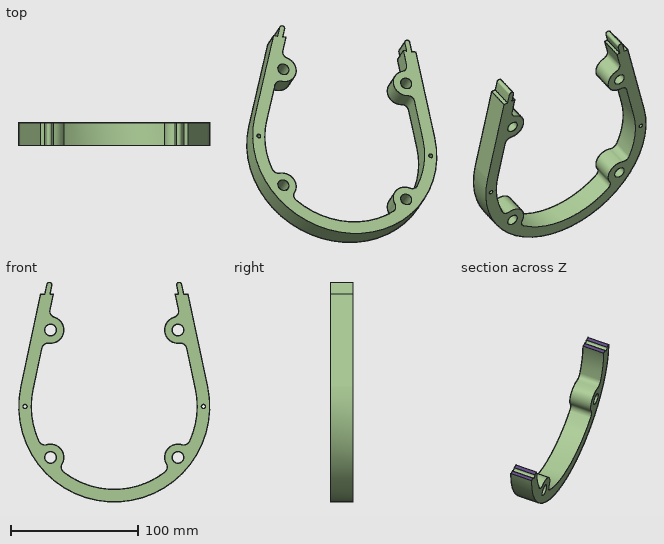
import cadquery as cq
import math

thickness = 18.0
overall_height = 172.3
outer_radius = 75.0
wall = 10.0
inner_radius = outer_radius - wall
lean = math.radians(12)
shoulder_z = 88.0

tongue_width = 4.1
tongue_setback = 3.3
tip_z = overall_height - outer_radius

boss_radius = 10.5
boss_hole_diameter = 9.0
boss_x = 50.0
upper_boss_z = 60.0
lower_boss_z = -40.0
boss_fillet = 5.0
boss_centers = [(side * boss_x, z) for side in (-1, 1) for z in (lower_boss_z, upper_boss_z)]

pin_hole_diameter = 3.1
pin_x = outer_radius - wall / 2

tolerance = 0.02


def mid_plane():
    """XZ sketch plane; solids are extruded evenly to both sides of it."""
    return cq.Workplane("XZ")


def leg_x(radius, z):
    """X at height z of the right-hand leaning line tangent to a circle of this radius."""
    return (radius - z * math.sin(lean)) / math.cos(lean)


def tangent_point(radius):
    """Point where the right-hand leg line meets its circle."""
    return radius * math.cos(lean), radius * math.sin(lean)


def make_band():
    outer_x, outer_z = tangent_point(outer_radius)
    inner_x, inner_z = tangent_point(inner_radius)
    outer_end = leg_x(outer_radius, shoulder_z)
    inner_end = leg_x(inner_radius, shoulder_z)
    return (
        mid_plane()
        .moveTo(-outer_end, shoulder_z)
        .lineTo(-outer_x, outer_z)
        .threePointArc((0, -outer_radius), (outer_x, outer_z))
        .lineTo(outer_end, shoulder_z)
        .lineTo(inner_end, shoulder_z)
        .lineTo(inner_x, inner_z)
        .threePointArc((0, -inner_radius), (-inner_x, inner_z))
        .lineTo(-inner_end, shoulder_z)
        .close()
        .extrude(thickness / 2, both=True)
    )


def make_right_tongue():
    """Tongue parallel to the leg, with a full round tip and its root buried in the leg."""
    tip_radius = tongue_width / 2
    center_offset = outer_radius - tongue_setback - tip_radius
    tip_center_z = tip_z - tip_radius
    root_z = shoulder_z - tongue_width
    length = (tip_center_z - root_z) / math.cos(lean)
    return (
        mid_plane()
        .center(leg_x(center_offset, root_z), root_z)
        .moveTo(-tip_radius, 0)
        .lineTo(-tip_radius, length)
        .threePointArc((0, length + tip_radius), (tip_radius, length))
        .lineTo(tip_radius, 0)
        .close()
        .extrude(thickness / 2, both=True)
        .rotate(
            (leg_x(center_offset, root_z), 0, root_z),
            (leg_x(center_offset, root_z), -1, root_z),
            math.degrees(lean),
        )
    )


def is_boss_corner(edge):
    """True for an edge where a boss meets the inner face of the band."""
    point = edge.Center()
    x = abs(point.x)
    if point.z > 0:
        wall_distance = x * math.cos(lean) + point.z * math.sin(lean)
        boss_z = upper_boss_z
    else:
        wall_distance = math.hypot(x, point.z)
        boss_z = lower_boss_z
    boss_distance = math.hypot(x - boss_x, point.z - boss_z)
    on_wall = abs(wall_distance - inner_radius) < tolerance
    on_boss = abs(boss_distance - boss_radius) < tolerance
    return on_wall and on_boss


bosses = mid_plane().pushPoints(boss_centers).circle(boss_radius).extrude(thickness / 2, both=True)
body = make_band().union(bosses)
body = body.edges("|Y").filter(is_boss_corner).fillet(boss_fillet)

right_tongue = make_right_tongue()
body = body.union(right_tongue).union(right_tongue.mirror("YZ"))

boss_holes = (
    mid_plane().pushPoints(boss_centers).circle(boss_hole_diameter / 2).extrude(thickness, both=True)
)
pin_holes = (
    mid_plane()
    .pushPoints([(-pin_x, 0), (pin_x, 0)])
    .circle(pin_hole_diameter / 2)
    .extrude(thickness, both=True)
)
result = body.cut(boss_holes).cut(pin_holes)